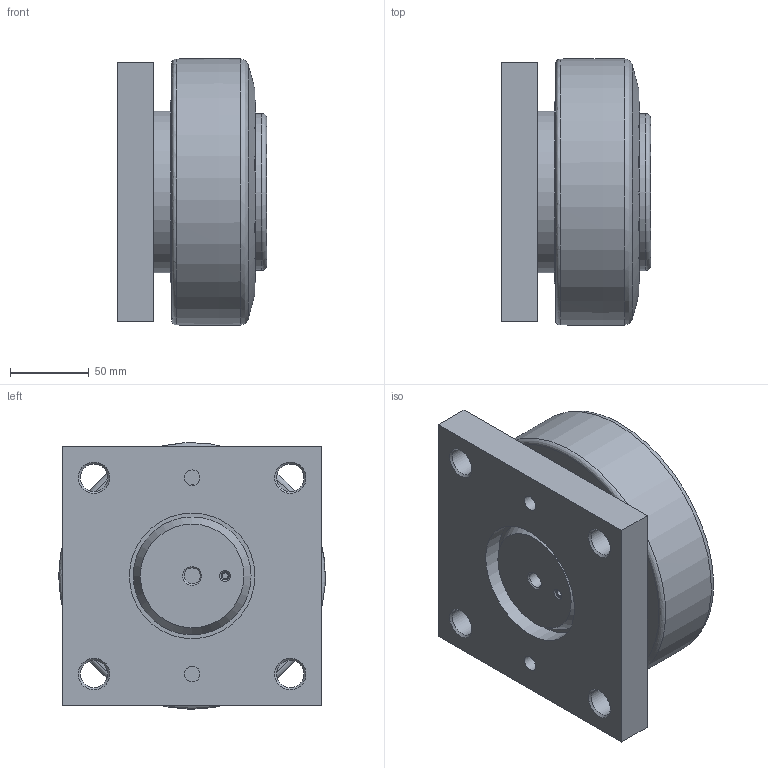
import cadquery as cq
import math

plate_side = 165.0
plate_thickness = 23.0
bolt_spacing = 125.0
bolt_hole_diameter = 17.5
bolt_mouth_diameter = 20.0
pin_hole_diameter = 10.0
plate_bore_diameter = 80.0
plate_bore_depth = 12.0

shaft_diameter = 75.0
shaft_face_diameter = 66.0
shaft_face_x = 4.0

center_hole_diameter = 10.2
center_mouth_diameter = 12.0
center_hole_depth = 25.0
side_hole_diameter = 5.2
side_mouth_diameter = 7.0
side_hole_depth = 1.5
side_duct_diameter = 3.8
side_duct_depth = 12.0
side_hole_offset = 21.0

neck_diameter = 103.0
hub_diameter = 116.0
hub_start_x = 33.7
hub_end_x = 88.0
cap_diameter = 100.0
cap_end_x = 95.0
cap_edge_radius = 3.0

roller_diameter = 170.0
roller_start_x = 34.5
roller_end_x = 87.5
roller_inner_edge_radius = 3.0
roller_outer_edge_radius = 5.0
roller_cone_angle = 15.0
roller_face_diameter = 131.0
roller_crown_radius = 1000.0
roller_crown_x = 59.0


def disc(diameter, start_x, end_x, center_y=0.0, center_z=0.0):
    """Cylinder along X between two X positions."""
    plane = cq.Workplane("YZ", origin=(start_x, center_y, center_z))
    return plane.circle(diameter / 2).extrude(end_x - start_x)


def cone(start_diameter, end_diameter, start_x, end_x, center_y=0.0, center_z=0.0):
    """Truncated cone along X between two X positions."""
    return cq.Workplane(
        cq.Solid.makeCone(
            start_diameter / 2,
            end_diameter / 2,
            end_x - start_x,
            pnt=cq.Vector(start_x, center_y, center_z),
            dir=cq.Vector(1, 0, 0),
        )
    )


def countersunk_hole(diameter, mouth_diameter, start_x, depth, center_y, center_z):
    """Cutter for a hole along X with a 45 degree mouth chamfer."""
    chamfer = (mouth_diameter - diameter) / 2
    hole = disc(diameter, start_x, start_x + depth, center_y, center_z)
    mouth = cone(mouth_diameter, diameter, start_x, start_x + chamfer, center_y, center_z)
    return hole.union(mouth)


def make_plate():
    """Square plate with chamfered corner holes, two pin holes and the central bore."""
    plate = cq.Workplane("YZ").rect(plate_side, plate_side).extrude(plate_thickness)
    half_spacing = bolt_spacing / 2
    for side_z in (-half_spacing, half_spacing):
        for side_y in (-half_spacing, half_spacing):
            plate = plate.cut(
                countersunk_hole(
                    bolt_hole_diameter, bolt_mouth_diameter, 0, plate_thickness, side_y, side_z
                )
            )
        plate = plate.cut(disc(pin_hole_diameter, 0, plate_thickness, 0, side_z))
    return plate.cut(disc(plate_bore_diameter, 0, plate_bore_depth))


def surface_radius_at(x):
    """Radius of the slightly barrel-shaped running surface at position x."""
    drop = roller_crown_radius - math.sqrt(roller_crown_radius**2 - (x - roller_crown_x) ** 2)
    return roller_diameter / 2 - drop


def fillet_rim(roller, rim_x, fillet_radius):
    """Round the circular rim of the roller that lies in the plane x = rim_x."""
    reach = roller_diameter
    rim_tolerance = 0.1
    slab = cq.selectors.BoxSelector(
        (rim_x - rim_tolerance, -reach, -reach), (rim_x + rim_tolerance, reach, reach)
    )
    return roller.edges(slab).fillet(fillet_radius)


def make_roller():
    """Crowned roller revolved about X, with a rounded inner edge and a conical outer side."""
    face_radius = roller_face_diameter / 2
    cone_length = (roller_diameter / 2 - face_radius) * math.tan(math.radians(roller_cone_angle))
    cone_start_x = roller_end_x - cone_length
    profile = (
        cq.Workplane("XY")
        .moveTo(roller_start_x, 0)
        .lineTo(roller_start_x, surface_radius_at(roller_start_x))
        .threePointArc(
            (roller_crown_x, surface_radius_at(roller_crown_x)),
            (cone_start_x, surface_radius_at(cone_start_x)),
        )
        .lineTo(roller_end_x, face_radius)
        .lineTo(roller_end_x, 0)
        .close()
    )
    roller = profile.revolve(360, (0, 0, 0), (1, 0, 0))
    roller = fillet_rim(roller, roller_start_x, roller_inner_edge_radius)
    return fillet_rim(roller, cone_start_x, roller_outer_edge_radius)


def make_shaft_end():
    """Tapered shaft end that rises from the floor of the plate bore."""
    return cone(shaft_face_diameter, shaft_diameter, shaft_face_x, plate_bore_depth)


def make_cap():
    """End cap with a rounded outer edge."""
    cap = disc(cap_diameter, hub_end_x, cap_end_x)
    return cap.faces(">X").edges().fillet(cap_edge_radius)


def cut_shaft_holes(body):
    """Blind centre hole and the smaller stepped hole beside it on the -Y side."""
    center_hole = countersunk_hole(
        center_hole_diameter, center_mouth_diameter, shaft_face_x, center_hole_depth, 0, 0
    )
    side_y = -side_hole_offset
    side_hole = countersunk_hole(
        side_hole_diameter, side_mouth_diameter, shaft_face_x, side_hole_depth, side_y, 0
    )
    side_duct = disc(side_duct_diameter, shaft_face_x, shaft_face_x + side_duct_depth, side_y)
    return body.cut(center_hole).cut(side_hole).cut(side_duct)


neck = disc(neck_diameter, plate_thickness, hub_start_x)
hub = disc(hub_diameter, hub_start_x, hub_end_x)
body = make_plate().union(make_shaft_end()).union(neck).union(hub)
body = body.union(make_roller()).union(make_cap())
result = cut_shaft_holes(body)